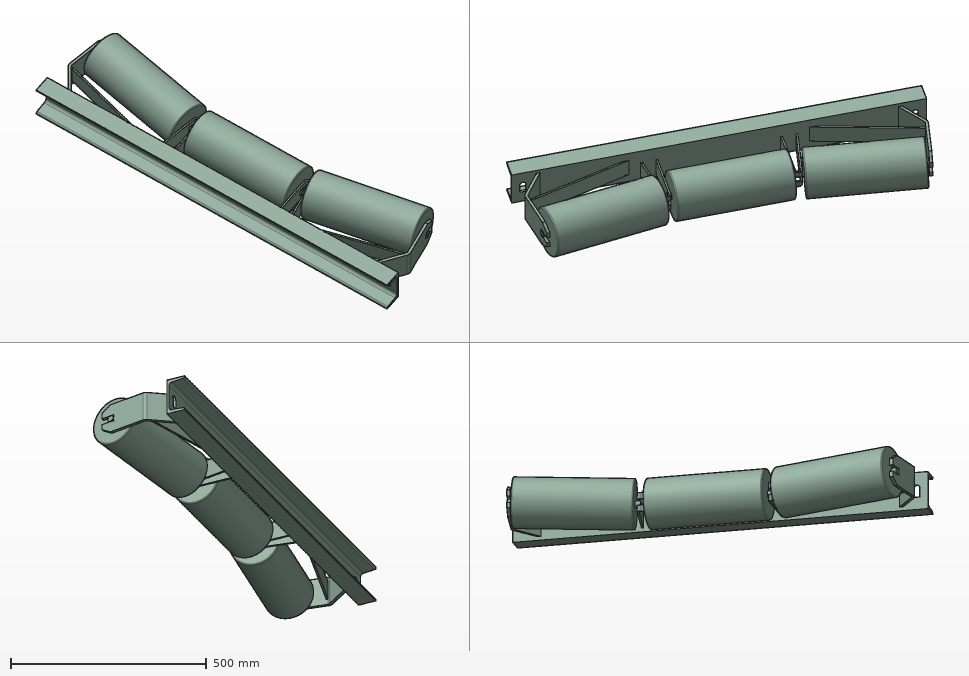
import cadquery as cq
import math

channel_length = 1100.0
channel_height = 100.0
channel_depth = 50.0
web_thickness = 6.0
flange_thickness = 8.5
flange_slope = 0.08
root_radius = 8.5
toe_radius = 4.5
slot_width = 16.5
slot_height = 33.0
slot_offset = 520.0

roller_diameter = 133.0
roller_length = 315.0
roller_edge_radius = 3.0
shaft_diameter = 18.0
shaft_flats = 17.0
plate_gap = 5.5
shoulder_clearance = 0.5
shaft_half_length = 172.0
slot_cut_depth = 12.0
slot_cut_reach = 60.0
center_roller_y = 115.0
center_roller_z = -15.0
wing_roller_x = 348.0
wing_roller_y = 148.3
wing_roller_z = -8.2
trough_angle = 10.0
skew_angle = 2.38

outer_bracket_width = 80.0
outer_plate = 8.0
inner_plate = 5.0
outer_bend_radius = 15.0
inner_bend_radius = 10.0
outer_bend_y = 73.0
outer_foot_offset = 52.0
outer_tip_y = 205.0
tip_width = 48.0
tip_taper_length = 26.0
inner_bracket_width = 50.0
inner_top_y = 140.0
strut_plate = 5.0
strut_width = 50.0
strut_foot_x = 258.0
strut_angle = 15.7

plate_face = roller_length / 2 + plate_gap
trough_tan = math.tan(math.radians(trough_angle))
trough_cos = math.cos(math.radians(trough_angle))
trough_sin = math.sin(math.radians(trough_angle))


def make_channel():
    """Channel with tapered flanges and a slot near each end."""
    half = channel_height / 2
    toe_thickness = flange_thickness - flange_slope * channel_depth / 2
    root_thickness = flange_thickness + flange_slope * (channel_depth / 2 - web_thickness)
    outline = [
        (0, -half),
        (0, half),
        (-channel_depth, half),
        (-channel_depth, half - toe_thickness),
        (-web_thickness, half - root_thickness),
        (-web_thickness, root_thickness - half),
        (-channel_depth, toe_thickness - half),
        (-channel_depth, -half),
    ]
    body = cq.Workplane("YZ").polyline(outline).close().extrude(channel_length)
    body = body.translate((-channel_length / 2, 0, 0))
    body = body.edges(inner_edges_at(-web_thickness)).fillet(root_radius)
    body = body.edges(inner_edges_at(-channel_depth)).fillet(toe_radius)
    for slot_x in (-slot_offset, slot_offset):
        body = body.cut(make_arched_slot().translate((slot_x, 0, 0)))
    return body


def inner_edges_at(y):
    """Selects the channel's lengthwise edges at the given Y on the inner faces of the flanges."""
    margin = 1.0
    side = channel_length / 2
    inner = channel_height / 2 - margin
    low_corner = (-side, y - margin, -inner)
    high_corner = (side, y + margin, inner)
    lengthwise = cq.selectors.ParallelDirSelector(cq.Vector(1, 0, 0))
    return lengthwise & cq.selectors.BoxSelector(low_corner, high_corner)


def make_arched_slot():
    """Slot with a flat bottom and a half-round top, through the web."""
    radius = slot_width / 2
    top = slot_height / 2
    return (
        cq.Workplane("XZ")
        .moveTo(-radius, -top)
        .lineTo(radius, -top)
        .lineTo(radius, top - radius)
        .threePointArc((0, top), (-radius, top - radius))
        .close()
        .extrude(web_thickness)
    )


def make_roller():
    """Roller shell and flatted shaft along X, centred on the origin."""
    shell = make_bar(roller_diameter, roller_length).edges().fillet(roller_edge_radius)
    shaft = make_bar(shaft_diameter, 2 * (plate_face - shoulder_clearance))
    ends = make_bar(shaft_diameter, 2 * shaft_half_length)
    flats = cq.Workplane("XY").box(2 * shaft_half_length, shaft_diameter, shaft_flats)
    return shell.union(shaft).union(ends.intersect(flats))


def make_bar(diameter, length):
    """Round bar along X, centred on the origin."""
    end_plane = cq.Plane((-length / 2, 0, 0), xDir=(0, 0, 1), normal=(1, 0, 0))
    return cq.Workplane(end_plane).circle(diameter / 2).extrude(length)


def make_slot_cutter():
    """Slots for both flatted shaft ends, open towards +Y."""
    start = plate_face - shoulder_clearance
    return (
        cq.Workplane("XY")
        .pushPoints([(-start - slot_cut_depth / 2, 0), (start + slot_cut_depth / 2, 0)])
        .box(slot_cut_depth, slot_cut_reach, shaft_flats)
        .translate((0, slot_cut_reach / 2 - shaft_diameter / 2, 0))
    )


def place_wing(body):
    """Move a body built about the origin to the left wing roller position."""
    return (
        body.rotate((0, 0, 0), (0, 1, 0), skew_angle)
        .rotate((0, 0, 0), (0, 0, 1), -trough_angle)
        .translate((-wing_roller_x, wing_roller_y, wing_roller_z))
    )


def wing_plane_x(axial, y):
    """X, at height y, of the plane square to the left wing's trough direction."""
    return -wing_roller_x + (axial + (y - wing_roller_y) * trough_sin) / trough_cos


def make_plate(outline, width):
    """Profile in XY extruded evenly about Z = 0."""
    return cq.Workplane("XY", origin=(0, 0, -width / 2)).polyline(outline).close().extrude(width)


def make_outer_bracket(wing_slots):
    """Bent plate beyond the left wing roller, tapered at its tip."""
    inner_bend_x = wing_plane_x(-plate_face, outer_bend_y)
    tip_run = (outer_tip_y - outer_bend_y) * trough_tan
    inner_face = [
        (inner_bend_x + outer_foot_offset, 0),
        (inner_bend_x, outer_bend_y),
        (inner_bend_x + tip_run, outer_tip_y),
    ]
    foot_angle = math.atan2(outer_foot_offset, outer_bend_y)
    tip_angle = math.radians(trough_angle)
    miter = outer_plate / math.cos((foot_angle + tip_angle) / 2)
    miter_angle = (foot_angle - tip_angle) / 2
    outer_bend = (
        inner_bend_x - miter * math.cos(miter_angle),
        outer_bend_y - miter * math.sin(miter_angle),
    )
    outline = inner_face + [
        (inner_bend_x + tip_run - outer_plate / trough_cos, outer_tip_y),
        outer_bend,
        (inner_bend_x + outer_foot_offset - outer_plate / math.cos(foot_angle), 0),
    ]
    plate = make_plate(outline, outer_bracket_width)
    inside_edge = cq.selectors.NearestToPointSelector((inner_bend_x, outer_bend_y, 0))
    outside_edge = cq.selectors.NearestToPointSelector((*outer_bend, 0))
    plate = plate.edges("|Z").edges(inside_edge).fillet(outer_bend_radius - outer_plate)
    plate = plate.edges("|Z").edges(outside_edge).fillet(outer_bend_radius)
    taper_y = outer_tip_y - tip_taper_length
    half = outer_bracket_width / 2
    front_shape = [
        (0, -half),
        (taper_y, -half),
        (outer_tip_y, -tip_width / 2),
        (outer_tip_y, tip_width / 2),
        (taper_y, half),
        (0, half),
    ]
    front = cq.Workplane("YZ").polyline(front_shape).close().extrude(-channel_length)
    return plate.intersect(front).cut(wing_slots)


def make_inner_bracket(wing_slots, center_slots):
    """Inverted U with an upright leg and a leg square to the left wing roller."""

    def bent_shape(inset, top):
        leg_inner = -plate_face - inset
        wing_inner = plate_face + inset
        outline = [
            (leg_inner, 0),
            (leg_inner, top),
            (wing_plane_x(wing_inner, top), top),
            (wing_plane_x(wing_inner, 0), 0),
        ]
        solid = cq.Workplane("XY").polyline(outline).close().extrude(inner_bracket_width)
        solid = solid.translate((0, 0, center_roller_z - inner_bracket_width / 2))
        return solid.edges("|Z and >Y").fillet(inner_bend_radius - inset)

    outside = bent_shape(0, inner_top_y)
    inside = bent_shape(inner_plate, inner_top_y - inner_plate)
    return outside.cut(inside).cut(wing_slots).cut(center_slots)


def make_strut(outer_bracket):
    """Flat bar from the channel to the inside of the outer bracket."""
    slope = math.tan(math.radians(strut_angle))
    rise = strut_plate / math.cos(math.radians(strut_angle))
    far_x = -channel_length / 2
    far_y = (-strut_foot_x - far_x) * slope
    outline = [
        (-strut_foot_x, 0),
        (far_x, far_y),
        (far_x, far_y + rise),
        (-strut_foot_x + rise / slope, 0),
    ]
    bar = make_plate(outline, strut_width)
    return bar.cut(outer_bracket).solids(">X")


channel = make_channel()
center_position = (0, center_roller_y, center_roller_z)
center_roller = make_roller().translate(center_position)
center_slots = make_slot_cutter().translate(center_position)
wing_slots = place_wing(make_slot_cutter())

outer_bracket = make_outer_bracket(wing_slots)
left_side = [
    place_wing(make_roller()),
    outer_bracket,
    make_inner_bracket(wing_slots, center_slots),
    make_strut(outer_bracket),
]

bodies = [channel.val(), center_roller.val()]
for body in left_side:
    bodies.append(body.val())
    bodies.append(body.mirror("YZ").val())

result = cq.Compound.makeCompound(bodies)